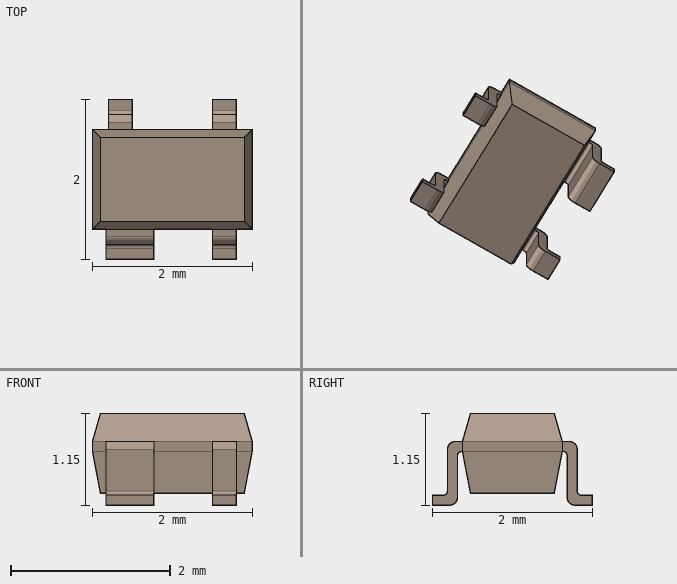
import cadquery as cq

BODY_LENGTH = 2.0
BODY_WIDTH = 1.25
BODY_BOTTOM = 0.15
BODY_TOP = 1.15
BODY_INSET = 0.1

LEAD_THICKNESS = 0.128
LEAD_SPAN = 2.0
LEAD_TOP = 0.8
INNER_RADIUS = 0.05
OUTER_RADIUS = 0.1
NARROW_WIDTH = 0.3
WIDE_WIDTH = 0.6
LEAD_X = 0.65
WIDE_LEAD_X = -0.53

BAND_TOP = LEAD_TOP
BAND_BOTTOM = LEAD_TOP - LEAD_THICKNESS

LEADS = [
    (WIDE_LEAD_X, WIDE_WIDTH, -1),
    (LEAD_X, NARROW_WIDTH, -1),
    (-LEAD_X, NARROW_WIDTH, 1),
    (LEAD_X, NARROW_WIDTH, 1),
]


def make_tapered_block(band_z, end_z):
    """Block narrowing from the band outline at band_z to the inset face at end_z."""
    return (
        cq.Workplane("XY", origin=(0, 0, band_z))
        .rect(BODY_LENGTH, BODY_WIDTH)
        .workplane(offset=end_z - band_z)
        .rect(BODY_LENGTH - 2 * BODY_INSET, BODY_WIDTH - 2 * BODY_INSET)
        .loft(ruled=True)
    )


def make_housing():
    """Straight middle band with a tapered block above and below it."""
    band = (
        cq.Workplane("XY", origin=(0, 0, BAND_BOTTOM))
        .rect(BODY_LENGTH, BODY_WIDTH)
        .extrude(BAND_TOP - BAND_BOTTOM)
    )
    upper = make_tapered_block(BAND_TOP, BODY_TOP)
    lower = make_tapered_block(BAND_BOTTOM, BODY_BOTTOM)
    return band.union(upper).union(lower)


def make_lead(center_x, width, side):
    """Gull-wing lead, drawn on the back side and turned round for the front."""
    root_y = BODY_WIDTH / 2
    toe_y = LEAD_SPAN / 2
    shank_outer_y = (root_y + toe_y) / 2
    shank_inner_y = shank_outer_y - LEAD_THICKNESS
    lead = (
        cq.Workplane("YZ")
        .moveTo(root_y, LEAD_TOP)
        .lineTo(shank_outer_y, LEAD_TOP)
        .lineTo(shank_outer_y, LEAD_THICKNESS)
        .lineTo(toe_y, LEAD_THICKNESS)
        .lineTo(toe_y, 0)
        .lineTo(shank_inner_y, 0)
        .lineTo(shank_inner_y, BAND_BOTTOM)
        .lineTo(root_y, BAND_BOTTOM)
        .close()
        .extrude(width / 2, both=True)
    )
    outer_corners = [(shank_outer_y, LEAD_TOP), (shank_inner_y, 0)]
    inner_corners = [(shank_outer_y, LEAD_THICKNESS), (shank_inner_y, BAND_BOTTOM)]
    for corners, radius in ((outer_corners, OUTER_RADIUS), (inner_corners, INNER_RADIUS)):
        for y, z in corners:
            lead = lead.edges(cq.NearestToPointSelector((0, y, z))).fillet(radius)
    if side < 0:
        lead = lead.mirror("XZ")
    return lead.translate((center_x, 0, 0))


housing = make_housing()
leads = [make_lead(*lead) for lead in LEADS]

result = cq.Compound.makeCompound([housing.val(), *[lead.val() for lead in leads]])